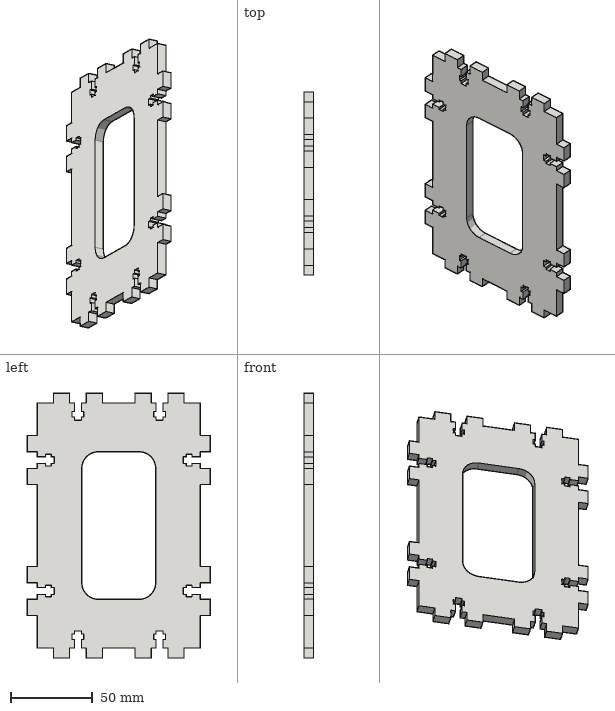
import cadquery as cq

overall_height = 162.0
overall_width = 112.0
thickness = 6.0

tab_length = thickness
tab_width = 10.0
tab_offset = tab_width

panel_height = overall_height - 2 * tab_length
panel_width = overall_width - 2 * tab_length

end_joint_offset = 25.0
side_joint_offset = 40.0

screw_slot_width = 4.0
screw_slot_depth = 10.5
nut_pocket_width = 7.0
nut_pocket_length = 3.2
nut_pocket_depth = 7.0

opening_width = 45.0
opening_height = 90.0
opening_radius = 10.0


def block(width, height, y=0, z=0):
    """Full-thickness block centred at (y, z), width along Y and height along Z."""
    return cq.Workplane("YZ").center(y, z).rect(width, height).extrude(thickness / 2, both=True)


def edge_tabs(panel_length, joint_offset):
    """Tabs along the +Z edge of a panel of the given length along Z."""
    tab_z = (panel_length + tab_length) / 2
    tabs = cq.Workplane("YZ")
    for joint_y in (-joint_offset, joint_offset):
        for tab_y in (joint_y - tab_offset, joint_y + tab_offset):
            tabs = tabs.add(block(tab_width, tab_length, tab_y, tab_z))
    return tabs.combine()


def edge_slots(panel_length, joint_offset):
    """T-slots cut into the +Z edge of a panel of the given length along Z."""
    edge_z = panel_length / 2
    slots = cq.Workplane("YZ")
    for joint_y in (-joint_offset, joint_offset):
        slots = slots.add(block(screw_slot_width, screw_slot_depth, joint_y, edge_z - screw_slot_depth / 2))
        slots = slots.add(block(nut_pocket_width, nut_pocket_length, joint_y, edge_z - nut_pocket_depth))
    return slots.combine()


def turned(shape, angle):
    """Shape turned about the X axis through the panel centre."""
    return shape.rotate((0, 0, 0), (1, 0, 0), angle)


opening = block(opening_width, opening_height).edges("|X").fillet(opening_radius)
result = block(panel_width, panel_height).cut(opening)

edges = (
    (0, panel_height, end_joint_offset),
    (90, panel_width, side_joint_offset),
    (180, panel_height, end_joint_offset),
    (270, panel_width, side_joint_offset),
)
for angle, panel_length, joint_offset in edges:
    result = result.union(turned(edge_tabs(panel_length, joint_offset), angle))
    result = result.cut(turned(edge_slots(panel_length, joint_offset), angle))